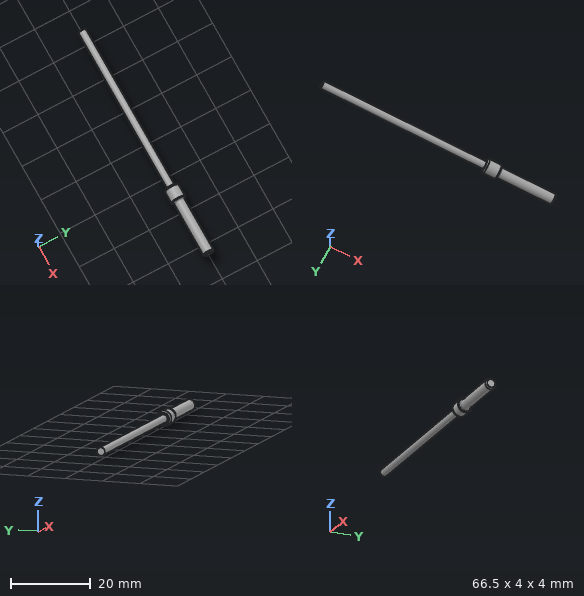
import cadquery as cq

total_length = 66.5
rod_length = 46.55
collar_length = 4.0
rod_diameter = 2.2
collar_diameter = 4.0
shank_diameter = 3.0
collar_front_chamfer = 0.45
collar_back_chamfer = 0.2
shank_chamfer = 0.4
shank_root_fillet = 0.25

rod_start = -total_length / 2
collar_start = rod_start + rod_length
shank_start = collar_start + collar_length
shank_length = total_length - rod_length - collar_length
collar_radius = collar_diameter / 2


def cylinder(start, length, diameter):
    """Cylinder along +X from the given X position."""
    return cq.Workplane("YZ", origin=(start, 0, 0)).circle(diameter / 2).extrude(length)


rod = cylinder(rod_start, rod_length, rod_diameter)

collar = cylinder(collar_start, collar_length, collar_diameter)
collar = collar.faces("<X").chamfer(collar_front_chamfer)
collar = collar.faces(">X").chamfer(collar_back_chamfer)

shank = cylinder(shank_start, shank_length, shank_diameter)
shank = shank.faces(">X").chamfer(shank_chamfer)

result = rod.union(collar).union(shank)

back_plane = cq.selectors.BoxSelector(
    (shank_start - shank_root_fillet / 2, -collar_radius, -collar_radius),
    (shank_start + shank_root_fillet / 2, collar_radius, collar_radius),
)
smallest_circle = cq.selectors.RadiusNthSelector(0)
root_edge = result.edges(back_plane).edges(smallest_circle)
result = root_edge.fillet(shank_root_fillet)